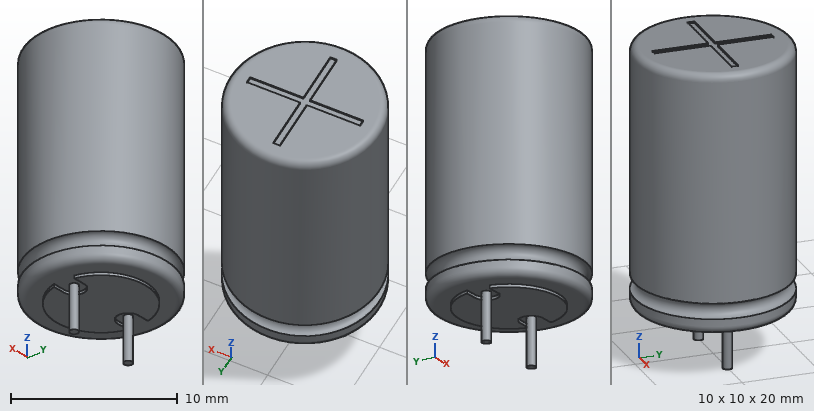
import cadquery as cq

can_radius = 5.0
total_height = 20.0
can_bottom = 3.2
edge_radius = 0.5

groove_radius = 0.5
groove_height = 4.7

seal_radius = 3.5
seal_thickness = 0.2
notch_width = 1.6

lead_radius = 0.3
lead_spacing = 5.0
lead_embed = 0.2

vent_length = 7.6
vent_width = 0.45
vent_depth = 0.1


def make_can():
    """Cylinder with rounded rims and a half-round crimp groove."""
    can = (
        cq.Workplane("XY", origin=(0, 0, can_bottom))
        .circle(can_radius)
        .extrude(total_height - can_bottom)
        .faces("<Z or >Z")
        .edges()
        .fillet(edge_radius)
    )
    groove = cq.Workplane(cq.Solid.makeTorus(can_radius, groove_radius, cq.Vector(0, 0, groove_height)))
    return can.cut(groove)


def make_seal():
    """Thin disc with round-ended notches that open to the -X and +X sides."""
    seal_bottom = cq.Workplane("XY", origin=(0, 0, can_bottom - seal_thickness))
    seal = seal_bottom.circle(seal_radius).extrude(seal_thickness)
    for side in (-1, 1):
        round_end = seal_bottom.center(side * lead_spacing / 2, 0).circle(notch_width / 2).extrude(seal_thickness)
        mouth_x = side * (lead_spacing / 2 + notch_width / 2)
        mouth = seal_bottom.center(mouth_x, 0).rect(notch_width, notch_width).extrude(seal_thickness)
        seal = seal.cut(round_end).cut(mouth)
    return seal


def make_leads():
    """Two round leads running down from the can to Z = 0."""
    return (
        cq.Workplane("XY")
        .pushPoints([(-lead_spacing / 2, 0), (lead_spacing / 2, 0)])
        .circle(lead_radius)
        .extrude(can_bottom + lead_embed)
    )


def make_vent_cross():
    """Two crossed shallow bars to cut from the top face."""
    floor = cq.Workplane("XY", origin=(0, 0, total_height - vent_depth))
    bar_x = floor.rect(vent_length, vent_width).extrude(vent_depth)
    bar_y = floor.rect(vent_width, vent_length).extrude(vent_depth)
    return bar_x.union(bar_y)


result = make_can().union(make_seal()).union(make_leads()).cut(make_vent_cross())